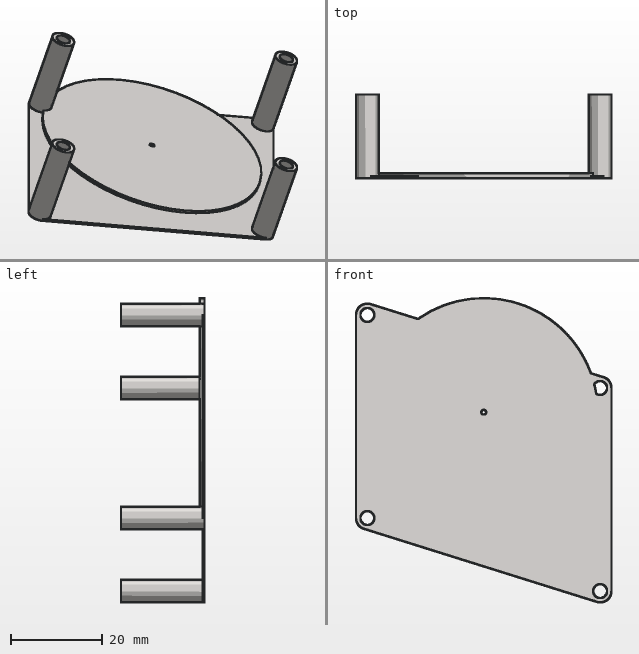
import cadquery as cq
import math

tube_diameter = 5.0
bore_diameter = 3.0
tube_length = 18.4
plate_thickness = 0.5
disc_diameter = 50.0
disc_thickness = 1.1
centre_hole_diameter = 1.0

column_spacing = 51.0
column_height = 44.5
column_drop = 16.0
overall_height = 66.7

tube_radius = tube_diameter / 2
right_x = column_spacing / 2
left_x = -right_x
right_low_z = disc_diameter / 2 - overall_height + tube_radius
right_high_z = right_low_z + column_height
left_low_z = right_low_z + column_drop
left_high_z = left_low_z + column_height

tube_centres = [
    (left_x, left_low_z),
    (right_x, right_low_z),
    (right_x, right_high_z),
    (left_x, left_high_z),
]
disc_centre = [(0, 0)]


def cylinders(centres, diameter, length):
    """Cylinders at (X, Z) centres, from the front face toward +Y."""
    return cq.Workplane("XZ").pushPoints(centres).circle(diameter / 2).extrude(-length)


def make_plate():
    """Plate between the tubes; each edge is tangent to two tubes, which round its corners."""
    slope = math.atan2(column_drop, column_spacing)
    tangent_x = tube_radius * math.sin(slope)
    tangent_z = tube_radius * math.cos(slope)
    plate_left = left_x - tube_radius
    plate_right = right_x + tube_radius
    outline = [
        (plate_left, left_low_z),
        (left_x - tangent_x, left_low_z - tangent_z),
        (right_x - tangent_x, right_low_z - tangent_z),
        (plate_right, right_low_z),
        (plate_right, right_high_z),
        (right_x + tangent_x, right_high_z + tangent_z),
        (left_x + tangent_x, left_high_z + tangent_z),
        (plate_left, left_high_z),
    ]
    return cq.Workplane("XZ").polyline(outline).close().extrude(-plate_thickness)


def make_bored_frame():
    """Plate carrying the four tubes, bored right through."""
    frame = make_plate().union(cylinders(tube_centres, tube_diameter, tube_length))
    return frame.cut(cylinders(tube_centres, bore_diameter, tube_length))


def make_disc():
    """Round disc, flush with the front face of the plate."""
    return cylinders(disc_centre, disc_diameter, disc_thickness)


body = make_bored_frame().union(make_disc())
result = body.cut(cylinders(disc_centre, centre_hole_diameter, disc_thickness))